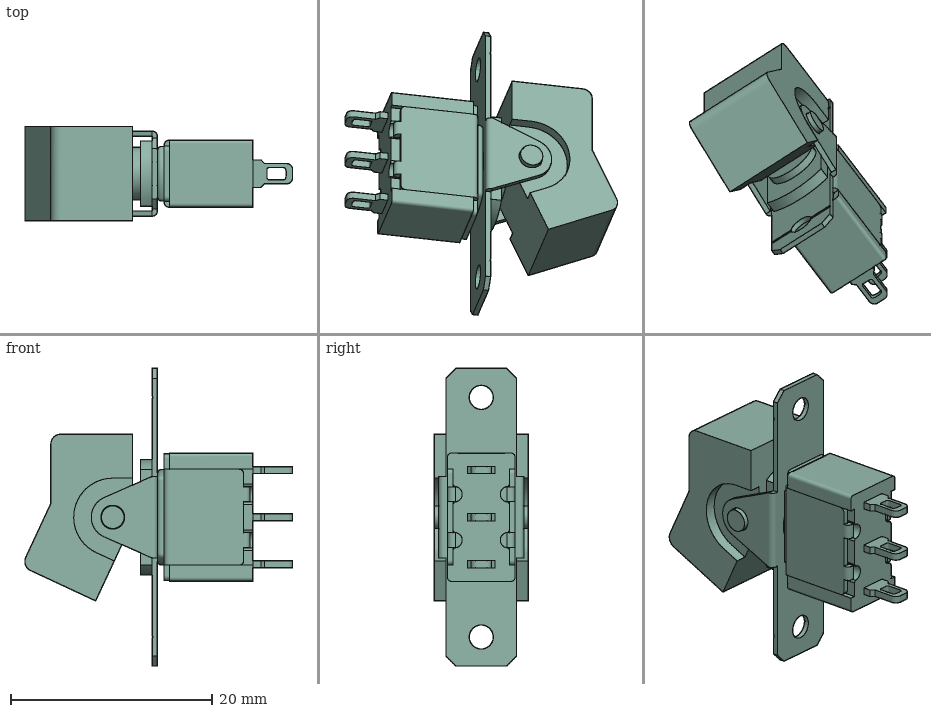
import cadquery as cq
import math


sheet = 0.53
plate_length = 29.6
plate_width = 7.05
plate_corner = 1.0
mount_hole_dia = 2.37
mount_hole_z = 11.9
groove_width = 0.25
groove_depth = 0.1
ear_outer_y = 4.23
ear_inner_y = ear_outer_y - sheet
ear_half_height = 4.05
ear_tip_radius = 2.13
ear_hole_radius = 1.18

pivot_x = -3.9
rocker_width = 9.38
rocker_bend = 25.0
rocker_front_x = -10.05
rocker_back_x = -1.92
rocker_top_z = 8.25
rocker_corner = 1.0
ear_pocket_radius = 3.88
ear_pocket_gap = 0.2
nub_radius = 1.12

collar_length = 1.15
collar_radius = 5.75
collar_width = 6.5
bushing_radius = 2.63
neck_length = 0.65
neck_radius = 4.77
neck_width = 5.45
neck_corner = 0.5
neck_fillet = 0.4

cover_front_x = sheet + neck_length
cover_end_x = 9.1
cover_corner = 0.45
cover_half_height = neck_radius
case_front_x = cover_front_x + sheet
case_end_x = 10.0
case_width = 6.7
case_height = 12.73
case_fillet = 0.35
seat_half_width = case_width / 2 - sheet
lug_width = 5.5
lug_height = 12.6
lug_fillet = 0.47

tab_z = 2.28
tab_width = 1.48
tab_length = 0.62
tab_depth = 0.77
notch_width = 2.0
notch_floor_width = 1.55
notch_slope_depth = 0.15

terminal_pitch = 4.68
terminal_thickness = 0.7
terminal_length = 3.97
terminal_root_width = 2.75
terminal_tip_width = 2.05
terminal_root_length = 0.8
terminal_corner = 0.62
slot_start = 1.42
slot_length = 1.9
slot_width = 1.18
slot_corner = 0.18
slot_bulge = 0.12


def box(x_range, y_range, z_range):
    """Box between pairs of limits."""
    size = [high - low for low, high in (x_range, y_range, z_range)]
    corner = (x_range[0], y_range[0], z_range[0])
    return cq.Workplane("XY").box(*size, centered=False).translate(corner)


def centred_box(x_range, width, height):
    """Box between two X limits, centred in Y and Z."""
    return box(x_range, (-width / 2, width / 2), (-height / 2, height / 2))


def x_disc(x_range, radius):
    """Round disc along X."""
    return cq.Workplane("YZ", origin=(x_range[0], 0, 0)).circle(radius).extrude(x_range[1] - x_range[0])


def y_rod(x, radius, y_range):
    """Round rod along Y at height Z = 0."""
    plane = cq.Workplane("XZ", origin=(x, y_range[0], 0))
    return plane.circle(radius).extrude(y_range[0] - y_range[1])


def flatted_disc(x_range, radius, width):
    """Round disc along X with two flats across Y."""
    return x_disc(x_range, radius).intersect(centred_box(x_range, width, 2 * radius))


def both_sides(solid):
    """The solid together with its mirror image in Y."""
    return solid.union(solid.mirror("XZ"))


def make_ear():
    """Triangular ear on the -Y side, rounded around the pivot and bent out of the plate."""
    reach = math.hypot(pivot_x, ear_half_height)
    tangent_angle = math.atan2(ear_half_height, -pivot_x) + math.acos(ear_tip_radius / reach)
    tangent_x = pivot_x + ear_tip_radius * math.cos(tangent_angle)
    tangent_z = ear_tip_radius * math.sin(tangent_angle)
    ear = (
        cq.Workplane("XZ", origin=(0, -ear_inner_y, 0))
        .moveTo(sheet, -ear_half_height)
        .lineTo(sheet, ear_half_height)
        .lineTo(0, ear_half_height)
        .lineTo(tangent_x, tangent_z)
        .threePointArc((pivot_x - ear_tip_radius, 0), (tangent_x, -tangent_z))
        .lineTo(0, -ear_half_height)
        .close()
        .extrude(sheet)
    )
    foot = box((0, sheet), (-ear_inner_y, 0), (-ear_half_height, ear_half_height))
    ear = ear.union(foot)
    return ear.edges("|Z and >X and <Y").fillet(sheet)


def make_bracket():
    bracket = centred_box((0, sheet), plate_width, plate_length).edges("|X").chamfer(plate_corner)
    bracket = bracket.union(both_sides(make_ear()))
    bracket = bracket.cut(x_disc((0, sheet), bushing_radius))
    bracket = bracket.cut(y_rod(pivot_x, ear_hole_radius, (-ear_outer_y, ear_outer_y)))
    for z in (-mount_hole_z, mount_hole_z):
        bracket = bracket.cut(x_disc((0, sheet), mount_hole_dia / 2).translate((0, 0, z)))
        groove = (
            cq.Workplane("XZ", origin=(0, plate_width / 2, z))
            .polyline([(0, -groove_width / 2), (groove_depth, 0), (0, groove_width / 2)])
            .close()
            .extrude(plate_width)
        )
        bracket = bracket.cut(groove)
    return bracket


def reflect(x, z):
    """Mirror a point in the rocker's symmetry line, which passes through the pivot."""
    turn = math.radians(rocker_bend)
    dx = x - pivot_x
    return (
        pivot_x + dx * math.cos(turn) - z * math.sin(turn),
        -dx * math.sin(turn) - z * math.cos(turn),
    )


def make_ear_pocket():
    """Pocket on the -Y side, rounded around the pivot and open along the back of both halves."""
    depth_range = (-rocker_width / 2, -ear_inner_y + ear_pocket_gap)
    pocket = y_rod(pivot_x, ear_pocket_radius, depth_range)
    upper = box(
        (pivot_x, pivot_x + 2 * ear_pocket_radius),
        depth_range,
        (-ear_pocket_radius, ear_pocket_radius),
    )
    lower = upper.rotate((pivot_x, 0, 0), (pivot_x, 1, 0), rocker_bend)
    return pocket.union(upper).union(lower)


def make_rocker():
    slope = math.tan(math.radians(rocker_bend / 2))
    front_fold = (rocker_front_x, (pivot_x - rocker_front_x) * slope)
    back_fold = (rocker_back_x, (pivot_x - rocker_back_x) * slope)
    top_front = (rocker_front_x, rocker_top_z)
    top_back = (rocker_back_x, rocker_top_z)
    outline = [front_fold, top_front, top_back, back_fold, reflect(*top_back), reflect(*top_front)]
    rocker = cq.Workplane("XZ", origin=(0, rocker_width / 2, 0)).polyline(outline).close().extrude(rocker_width)
    for corner in (top_front, reflect(*top_front)):
        rocker = rocker.edges(cq.NearestToPointSelector((corner[0], 0, corner[1]))).fillet(rocker_corner)
    rocker = rocker.cut(both_sides(make_ear_pocket()))
    nubs = y_rod(pivot_x, nub_radius, (-rocker_width / 2, rocker_width / 2))
    return rocker.union(nubs)


def make_bushing():
    barrel = x_disc((rocker_back_x, sheet), bushing_radius)
    collar = flatted_disc((-collar_length, 0), collar_radius, collar_width)
    neck = flatted_disc((sheet, cover_front_x), neck_radius, neck_width)
    neck = neck.edges("|X").fillet(neck_corner).faces("<X").edges().fillet(neck_fillet)
    return barrel.union(collar).union(neck)


def make_cover():
    """U-shaped cover with rounded leg ends and two inward tabs on each leg."""
    height = 2 * cover_half_height
    cover = centred_box((cover_front_x, cover_end_x), case_width, height)
    cover = cover.edges("|Y and >X").fillet(cover_corner)
    cover = cover.edges("|Z and <X").fillet(sheet)
    cover = cover.cut(centred_box((case_front_x, case_end_x), 2 * seat_half_width, height))
    for z in (-tab_z, tab_z):
        tab = box(
            (cover_end_x, cover_end_x + tab_length),
            (-case_width / 2, -case_width / 2 + tab_depth),
            (z - tab_width / 2, z + tab_width / 2),
        )
        tab = tab.edges("|Z and >X and <Y").fillet(sheet)
        cover = cover.union(both_sides(tab))
    return cover


def make_notch(z):
    """Notch for one tab on the -Y side, with sloping walls and a rounded floor."""
    half_width = notch_width / 2
    half_floor = notch_floor_width / 2
    floor_y = -seat_half_width + notch_slope_depth
    return (
        cq.Workplane("YZ", origin=(cover_end_x, 0, z))
        .moveTo(-seat_half_width, -half_width)
        .lineTo(floor_y, -half_floor)
        .threePointArc((floor_y + half_floor, 0), (floor_y, half_floor))
        .lineTo(-seat_half_width, half_width)
        .close()
        .extrude(case_end_x - cover_end_x)
    )


def make_case():
    case = centred_box((case_front_x, case_end_x), case_width, case_height).edges("|X").fillet(case_fillet)
    lugs = centred_box((cover_front_x, case_front_x), lug_width, lug_height).edges("|X").fillet(lug_fillet)
    case = case.union(lugs)
    cover_space = centred_box((cover_front_x, case_end_x), case_width, 2 * cover_half_height)
    core = centred_box((case_front_x, case_end_x), 2 * seat_half_width, 2 * cover_half_height)
    case = case.cut(cover_space.cut(core))
    for z in (-tab_z, tab_z):
        case = case.cut(both_sides(make_notch(z)))
    return case


def make_terminal(z):
    """Flat solder lug with a stepped width and a slot."""
    root = terminal_root_width / 2
    tip = terminal_tip_width / 2
    taper_end = terminal_root_length + root - tip
    outline = [
        (0, root),
        (terminal_root_length, root),
        (taper_end, tip),
        (terminal_length, tip),
        (terminal_length, -tip),
        (taper_end, -tip),
        (terminal_root_length, -root),
        (0, -root),
    ]
    plane = cq.Workplane("XY", origin=(case_end_x, 0, z - terminal_thickness / 2))
    terminal = plane.polyline(outline).close().extrude(terminal_thickness)
    terminal = terminal.edges("|Z and >X").fillet(terminal_corner)
    slot_end = slot_start + slot_length
    slot = (
        plane.moveTo(slot_start, -slot_width / 2)
        .lineTo(slot_end - slot_bulge, -slot_width / 2)
        .threePointArc((slot_end, 0), (slot_end - slot_bulge, slot_width / 2))
        .lineTo(slot_start, slot_width / 2)
        .close()
        .extrude(terminal_thickness)
        .edges("|Z")
        .fillet(slot_corner)
    )
    return terminal.cut(slot)


bracket = make_bracket()
rocker = make_rocker()
bushing = make_bushing()
cover = make_cover()
case = make_case()
terminals = [make_terminal(step * terminal_pitch) for step in (-1, 0, 1)]

result = cq.Compound.makeCompound(
    [
        bracket.val(),
        rocker.val(),
        bushing.val(),
        cover.val(),
        case.val(),
        *[terminal.val() for terminal in terminals],
    ]
)